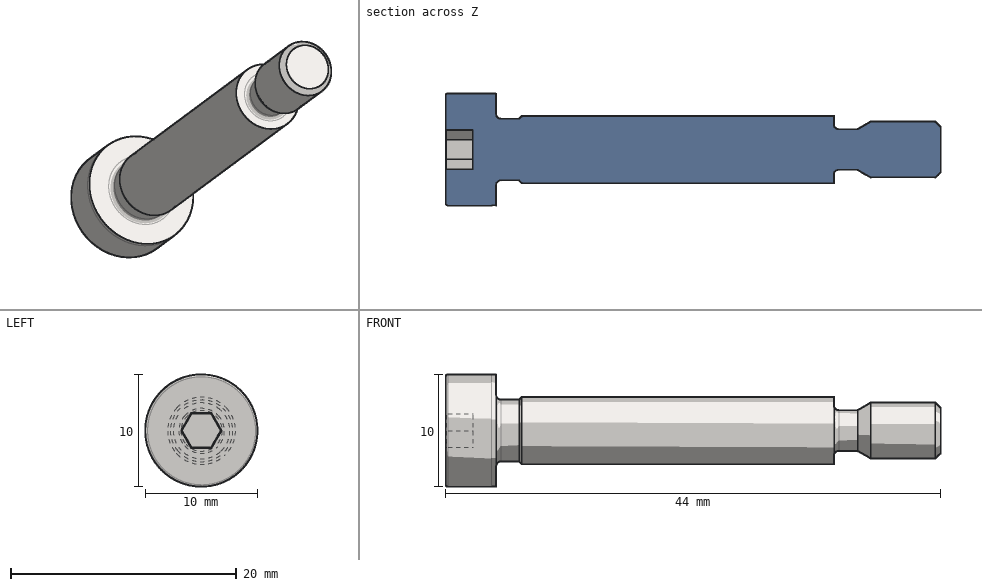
import cadquery as cq
import math

total_length = 44.0

head_diameter = 10.0
head_length = 4.5
head_front_fillet = 0.2
head_rear_diameter = 9.96
head_taper_length = 0.45

socket_across_flats = 3.0
socket_depth = 2.4
socket_chamfer = 0.06

shoulder_diameter = 6.0
shoulder_length = 30.0
neck_diameter = 5.52
neck_length = 2.03
neck_fillet = 0.4

thread_diameter = 5.0
tip_chamfer = 0.49
groove_diameter = 3.65
groove_length = 2.09
groove_fillet = 0.4
runout_angle = 30.0

head_end = head_length
neck_end = head_end + neck_length
shoulder_chamfer = (shoulder_diameter - neck_diameter) / 2
shoulder_end = head_end + shoulder_length
groove_end = shoulder_end + groove_length
runout_length = (thread_diameter - groove_diameter) / 2 / math.tan(math.radians(runout_angle))


def concave_fillet_middle(corner_x, axis_radius, fillet_radius):
    """Midpoint of a quarter round between a face at corner_x and a cylinder."""
    offset = fillet_radius * (1 - math.sqrt(0.5))
    return (corner_x + offset, axis_radius + offset)


def convex_fillet_middle(outer_radius, fillet_radius):
    """Midpoint of a quarter round between the plane x = 0 and a cylinder."""
    offset = fillet_radius * (1 - math.sqrt(0.5))
    return (offset, outer_radius - offset)


def make_turned_body():
    """Revolve the half profile, drawn as (axial position, radius), about X."""
    neck_radius = neck_diameter / 2
    groove_radius = groove_diameter / 2
    profile = (
        cq.Workplane("XY")
        .moveTo(0, 0)
        .lineTo(0, head_diameter / 2 - head_front_fillet)
        .threePointArc(
            convex_fillet_middle(head_diameter / 2, head_front_fillet),
            (head_front_fillet, head_diameter / 2),
        )
        .lineTo(head_end - head_taper_length, head_diameter / 2)
        .lineTo(head_end, head_rear_diameter / 2)
        .lineTo(head_end, neck_radius + neck_fillet)
        .threePointArc(
            concave_fillet_middle(head_end, neck_radius, neck_fillet),
            (head_end + neck_fillet, neck_radius),
        )
        .lineTo(neck_end, neck_radius)
        .lineTo(neck_end + shoulder_chamfer, shoulder_diameter / 2)
        .lineTo(shoulder_end, shoulder_diameter / 2)
        .lineTo(shoulder_end, groove_radius + groove_fillet)
        .threePointArc(
            concave_fillet_middle(shoulder_end, groove_radius, groove_fillet),
            (shoulder_end + groove_fillet, groove_radius),
        )
        .lineTo(groove_end, groove_radius)
        .lineTo(groove_end + runout_length, thread_diameter / 2)
        .lineTo(total_length - tip_chamfer, thread_diameter / 2)
        .lineTo(total_length, thread_diameter / 2 - tip_chamfer)
        .lineTo(total_length, 0)
        .close()
    )
    return profile.revolve(360, (0, 0, 0), (1, 0, 0))


def hexagon_prism(across_flats, depth, taper=0):
    """Hexagonal prism growing along +X from the head face, with corners along Y."""
    across_corners = across_flats / math.cos(math.radians(30))
    return cq.Workplane("YZ").polygon(6, across_corners).extrude(depth, taper=taper)


def make_socket():
    """Hexagonal socket with a 45 degree chamfer around its mouth."""
    mouth_across_flats = socket_across_flats + 2 * socket_chamfer
    mouth = hexagon_prism(mouth_across_flats, socket_chamfer, taper=45)
    return hexagon_prism(socket_across_flats, socket_depth).union(mouth)


result = make_turned_body().cut(make_socket())